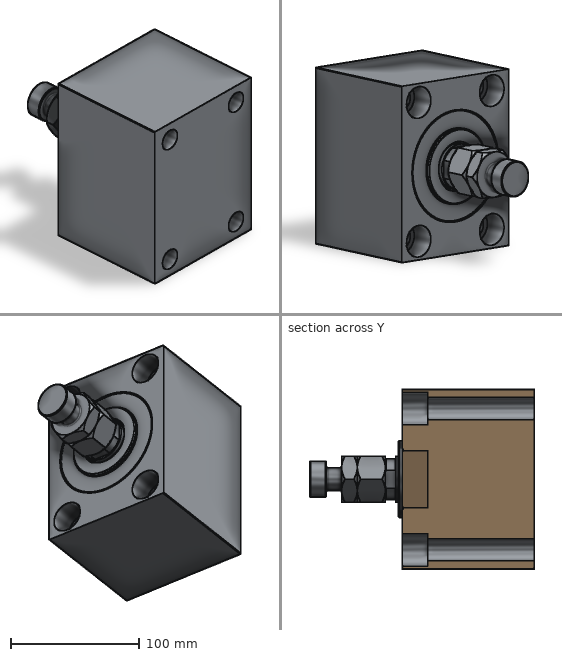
import cadquery as cq
import math

OVERALL_LENGTH = 175.0
BLOCK_WIDTH = 110.0
BLOCK_HEIGHT = 140.0
ROD_REACH = 72.0
BLOCK_LENGTH = OVERALL_LENGTH - ROD_REACH
BLOCK_EDGE_CHAMFER = 0.5

HOLE_SPACING_Y = 75.0
HOLE_SPACING_Z = 110.0
HOLE_DIAMETER = 17.0
COUNTERBORE_DIAMETER = 25.0
COUNTERBORE_DEPTH = 20.0

GLAND_DIAMETER = 87.0
GLAND_DEPTH = 20.0
GLAND_SEAT_CHAMFER = 1.0
BOSS_DIAMETER = 60.0
BOSS_HEIGHT = 3.0
BOSS_CHAMFER = 1.0
WIPER_RECESS_DIAMETER = 39.2
WIPER_RECESS_DEPTH = 2.0

ROD_DIAMETER = 36.0
ROD_SHOULDER = 2.0
WRENCH_LENGTH = 8.0
WRENCH_DIAMETER = 35.0
WRENCH_FLATS = 32.0
ROD_END_CHAMFER = 0.5

HEAD_DIAMETER = 28.2
HEAD_LENGTH = 13.0
HEAD_CHAMFER = 0.7
NECK_DIAMETER = 18.0
NECK_LENGTH = 11.9
NECK_FILLET = 1.0
HEX_FLATS = 36.0
HEX_CORNERS = HEX_FLATS / math.cos(math.radians(30))
SHORT_HEX_LENGTH = 12.2
HEX_CHAMFER_LENGTH = 2.6
HEX_FACE_DIAMETER = 35.9

BOSS_FACE_X = -BOSS_HEIGHT
SHOULDER_X = BOSS_FACE_X - ROD_SHOULDER
ROD_END_X = SHOULDER_X - WRENCH_LENGTH
HEAD_X = -ROD_REACH
NECK_X = HEAD_X + HEAD_LENGTH
SHORT_HEX_X = NECK_X + NECK_LENGTH
LONG_HEX_X = SHORT_HEX_X + SHORT_HEX_LENGTH
LONG_HEX_LENGTH = ROD_END_X - LONG_HEX_X


def plane_at(x):
    """Plane facing +X, with its local axes along Y and Z."""
    return cq.Workplane("YZ", origin=(x, 0, 0))


def cylinder(x, length, diameter):
    return plane_at(x).circle(diameter / 2).extrude(length)


def make_block():
    """Block with broken long edges, a chamfered gland seat and four counterbored through holes."""
    block = plane_at(0).rect(BLOCK_WIDTH, BLOCK_HEIGHT).extrude(BLOCK_LENGTH)
    block = block.edges("|X").chamfer(BLOCK_EDGE_CHAMFER)
    block = block.cut(cylinder(0, GLAND_DEPTH, GLAND_DIAMETER))
    block = block.faces("<X").edges("%CIRCLE").chamfer(GLAND_SEAT_CHAMFER)
    hole_steps = ((HOLE_DIAMETER, BLOCK_LENGTH), (COUNTERBORE_DIAMETER, COUNTERBORE_DEPTH))
    for diameter, depth in hole_steps:
        holes = plane_at(0).rect(HOLE_SPACING_Y, HOLE_SPACING_Z, forConstruction=True).vertices()
        block = block.cut(holes.circle(diameter / 2).extrude(depth))
    return block


def make_gland():
    """Gland flush with the block, with a raised boss around the rod bore."""
    boss = cylinder(BOSS_FACE_X, BOSS_HEIGHT, BOSS_DIAMETER).faces("<X").chamfer(BOSS_CHAMFER)
    gland = cylinder(0, GLAND_DEPTH, GLAND_DIAMETER).union(boss)
    gland = gland.cut(cylinder(BOSS_FACE_X, BOSS_HEIGHT + GLAND_DEPTH, ROD_DIAMETER))
    return gland.cut(cylinder(BOSS_FACE_X, WIPER_RECESS_DEPTH, WIPER_RECESS_DIAMETER))


def make_rod():
    """Rod whose slimmer wrench end widens through a short cone and carries four flats."""
    cone_length = (ROD_DIAMETER - WRENCH_DIAMETER) / 2
    cone_x = SHOULDER_X - cone_length
    rod = cylinder(cone_x, GLAND_DEPTH - cone_x, ROD_DIAMETER).faces("<X").chamfer(cone_length)
    wrench_end = cylinder(ROD_END_X, WRENCH_LENGTH, WRENCH_DIAMETER).faces("<X").chamfer(ROD_END_CHAMFER)
    outside_flats = (
        plane_at(ROD_END_X)
        .rect(2 * ROD_DIAMETER, 2 * ROD_DIAMETER)
        .rect(WRENCH_FLATS, WRENCH_FLATS)
        .extrude(WRENCH_LENGTH)
    )
    return rod.union(wrench_end).cut(outside_flats)


def make_hex(x, length):
    """Hexagon with corners on the Y axis, turned conical at both ends."""
    hexagon = plane_at(x).polygon(6, HEX_CORNERS).extrude(length)
    face_radius = HEX_FACE_DIAMETER / 2
    corner_radius = HEX_CORNERS / 2
    envelope = (
        cq.Workplane("XY")
        .moveTo(x, 0)
        .lineTo(x, face_radius)
        .lineTo(x + HEX_CHAMFER_LENGTH, corner_radius)
        .lineTo(x + length - HEX_CHAMFER_LENGTH, corner_radius)
        .lineTo(x + length, face_radius)
        .lineTo(x + length, 0)
        .close()
        .revolve(360, (0, 0, 0), (1, 0, 0))
    )
    return hexagon.intersect(envelope)


def make_neck():
    """Neck flaring with a fillet into the head and into the hexagon."""
    radius = NECK_DIAMETER / 2
    return (
        cq.Workplane("XY")
        .moveTo(NECK_X, 0)
        .lineTo(NECK_X, radius + NECK_FILLET)
        .radiusArc((NECK_X + NECK_FILLET, radius), -NECK_FILLET)
        .lineTo(SHORT_HEX_X - NECK_FILLET, radius)
        .radiusArc((SHORT_HEX_X, radius + NECK_FILLET), -NECK_FILLET)
        .lineTo(SHORT_HEX_X, 0)
        .close()
        .revolve(360, (0, 0, 0), (1, 0, 0))
    )


def make_coupling():
    """Round head and neck joined to a short and a long hexagon."""
    head = cylinder(HEAD_X, HEAD_LENGTH, HEAD_DIAMETER).edges().chamfer(HEAD_CHAMFER)
    short_hex = make_hex(SHORT_HEX_X, SHORT_HEX_LENGTH)
    long_hex = make_hex(LONG_HEX_X, LONG_HEX_LENGTH)
    return head.union(make_neck()).union(short_hex).union(long_hex)


block = make_block()
gland = make_gland()
rod = make_rod()
coupling = make_coupling()

bodies = [body.solids().val() for body in (block, gland, rod, coupling)]
result = cq.Compound.makeCompound(bodies)